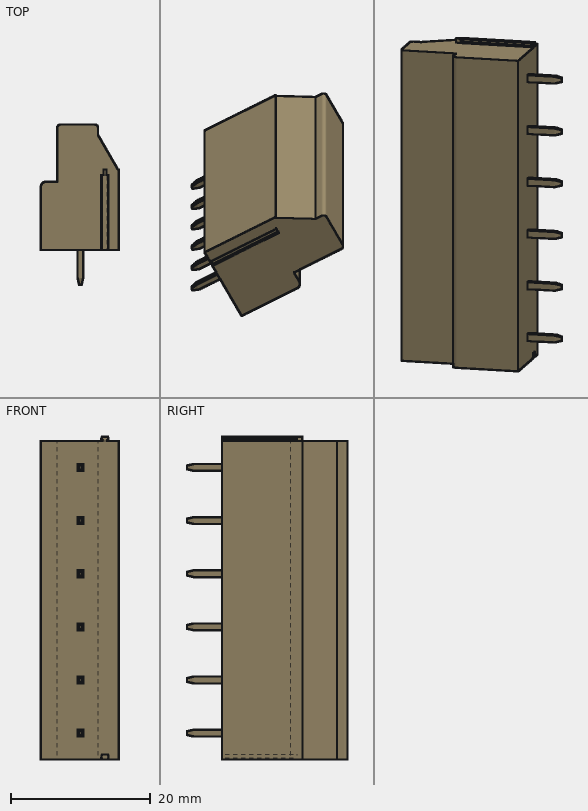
import cadquery as cq
import math

OVERALL_HEIGHT = 46.3
POLES = 6
HOUSING_HEIGHT = 45.7
PITCH = HOUSING_HEIGHT / POLES
HOUSING_WIDTH = 11.2
HOUSING_DEPTH = 18.0

STEP_WIDTH = 2.35
STEP_DEPTH = 9.8
STEP_FILLET = 0.8
TOP_RIGHT_X = 8.25
TOP_FILLET = 0.5
SLOPE_START_Y = HOUSING_DEPTH - 1.55
SLOPE_END_Y = 11.6
SLOPE_ANGLE = 30

PIN_LENGTH = 5.0
PIN_TIP_LENGTH = 0.95
PIN_X = 5.7
PIN_WIDTH = 0.85
PIN_HEIGHT = 1.0
TIP_WIDTH = 0.35
TIP_HEIGHT = 0.55

RAIL_X = 9.2
RAIL_HEIGHT = OVERALL_HEIGHT - HOUSING_HEIGHT
RAIL_TAPER_HEIGHT = 0.3
RAIL_TOP_WIDTH = 0.9
RAIL_WAIST_WIDTH = 1.05
RAIL_BASE_WIDTH = 0.65
RAIL_LENGTH = 10.8
RAIL_NOSE_WIDTH = 0.4
RAIL_NOSE_LENGTH = 0.75
GROOVE_DEPTH = 0.75


def make_housing():
    slope_end_x = TOP_RIGHT_X + (SLOPE_START_Y - SLOPE_END_Y) * math.tan(math.radians(SLOPE_ANGLE))
    outline = [
        (0, 0),
        (HOUSING_WIDTH, 0),
        (HOUSING_WIDTH, SLOPE_END_Y),
        (slope_end_x, SLOPE_END_Y),
        (TOP_RIGHT_X, SLOPE_START_Y),
        (TOP_RIGHT_X, HOUSING_DEPTH),
        (STEP_WIDTH, HOUSING_DEPTH),
        (STEP_WIDTH, STEP_DEPTH),
        (0, STEP_DEPTH),
    ]
    block = cq.Workplane("XY").polyline(outline).close().extrude(HOUSING_HEIGHT)
    block = block.edges("|Z and >Y").fillet(TOP_FILLET)
    step_corner = cq.selectors.NearestToPointSelector((0, STEP_DEPTH, HOUSING_HEIGHT / 2))
    return block.edges(step_corner).fillet(STEP_FILLET)


def dovetail(base_z, height):
    """Prism along +Y: narrow at base_z, widest at the waist, slightly narrower on top."""
    taper_z = base_z + RAIL_TAPER_HEIGHT
    top_z = base_z + height
    profile = [
        (RAIL_X - RAIL_BASE_WIDTH / 2, base_z),
        (RAIL_X + RAIL_BASE_WIDTH / 2, base_z),
        (RAIL_X + RAIL_WAIST_WIDTH / 2, taper_z),
        (RAIL_X + RAIL_TOP_WIDTH / 2, top_z),
        (RAIL_X - RAIL_TOP_WIDTH / 2, top_z),
        (RAIL_X - RAIL_WAIST_WIDTH / 2, taper_z),
    ]
    return cq.Workplane("XZ").polyline(profile).close().extrude(-RAIL_LENGTH)


def make_rail_nose():
    nose_end = RAIL_LENGTH + RAIL_NOSE_LENGTH
    return (
        cq.Workplane("XY", origin=(RAIL_X, nose_end / 2, HOUSING_HEIGHT))
        .rect(RAIL_NOSE_WIDTH, nose_end)
        .extrude(RAIL_HEIGHT)
    )


def make_pin(z):
    shank_length = PIN_LENGTH - PIN_TIP_LENGTH
    shank = cq.Workplane("XZ", origin=(PIN_X, 0, z)).rect(PIN_WIDTH, PIN_HEIGHT).extrude(shank_length)
    tip = (
        cq.Workplane("XZ", origin=(PIN_X, -shank_length, z))
        .rect(PIN_WIDTH, PIN_HEIGHT)
        .workplane(offset=PIN_TIP_LENGTH)
        .rect(TIP_WIDTH, TIP_HEIGHT)
        .loft(ruled=True)
    )
    return shank.union(tip)


result = make_housing().cut(dovetail(0, GROOVE_DEPTH))
result = result.union(dovetail(HOUSING_HEIGHT, RAIL_HEIGHT)).union(make_rail_nose())
for pole in range(POLES):
    result = result.union(make_pin((pole + 0.5) * PITCH))